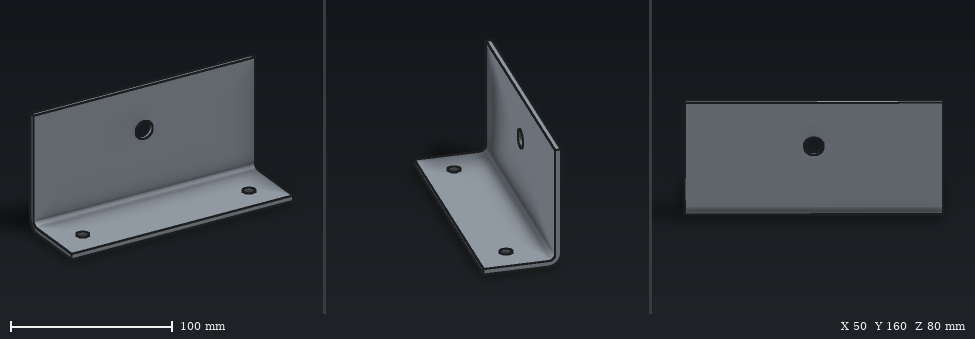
import cadquery as cq

width = 50.0
length = 160.0
height = 80.0

thickness = 4.0
inner_radius = 4.0
outer_radius = inner_radius + thickness

base_hole_diameter = 8.0
base_hole_edge_distance = 20.0
wall_hole_diameter = 12.0
wall_hole_top_distance = 30.0


def bent_sheet():
    """L-shaped sheet with concentric bend radii, centred along Y."""
    wall = cq.Workplane("XY").box(thickness, length, height, centered=(False, True, False))
    base = cq.Workplane("XY").box(width, length, thickness, centered=(False, True, False))
    return (
        wall.union(base)
        .edges("|Y and <X and <Z")
        .fillet(outer_radius)
        .edges(cq.selectors.NearestToPointSelector((thickness, 0, thickness)))
        .fillet(inner_radius)
    )


def base_holes():
    """Vertical cutters near both ends of the base."""
    hole_x = width - base_hole_edge_distance
    hole_y = length / 2 - base_hole_edge_distance
    return (
        cq.Workplane("XY")
        .pushPoints([(hole_x, -hole_y), (hole_x, hole_y)])
        .circle(base_hole_diameter / 2)
        .extrude(thickness)
    )


def wall_hole():
    """Horizontal cutter at the middle of the wall."""
    return (
        cq.Workplane("YZ")
        .center(0, height - wall_hole_top_distance)
        .circle(wall_hole_diameter / 2)
        .extrude(thickness)
    )


result = bent_sheet().cut(base_holes()).cut(wall_hole())